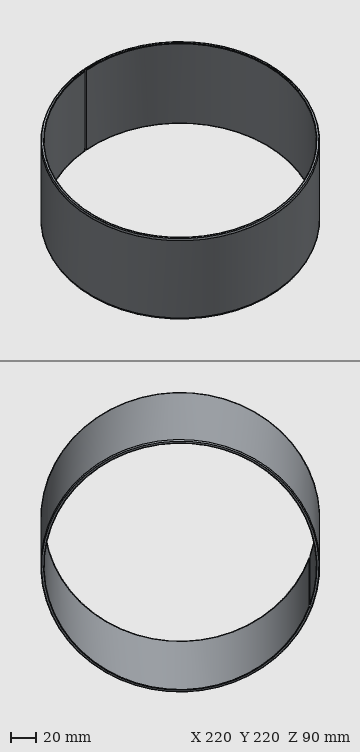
import cadquery as cq

outer_diameter = 220.0
height = 90.0
wall = 2.6
outer_bevel_depth = 0.7
outer_bevel_height = 1.8
inner_bevel = 0.5
gap_width = 1.5

outer_radius = outer_diameter / 2
inner_radius = outer_radius - wall

wall_section = [
    (inner_radius + inner_bevel, 0),
    (outer_radius - outer_bevel_depth, 0),
    (outer_radius, outer_bevel_height),
    (outer_radius, height - outer_bevel_height),
    (outer_radius - outer_bevel_depth, height),
    (inner_radius + inner_bevel, height),
    (inner_radius, height - inner_bevel),
    (inner_radius, inner_bevel),
]
band = cq.Workplane("XZ").polyline(wall_section).close().revolve(360, (0, 0), (0, 1))

gap = cq.Workplane("XY").box(outer_radius, gap_width, height, centered=(False, False, False))
gap = gap.translate((-outer_radius, 0, 0))

result = band.cut(gap)